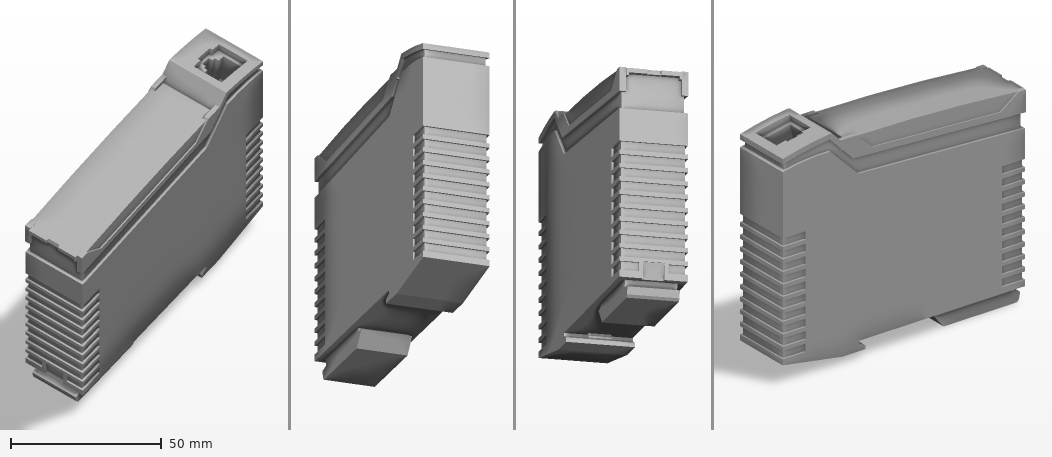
import cadquery as cq

width = 23.6
half_width = width / 2
back_y = 50.7
front_y = -49.7
cap_front_y = -50.0
lip_front_y = -50.7
base_z = 6.7

reach = 121.7

hook_tip_y = 16.5
hook_root_y = 19.2
hook_bottom_z = 2.8
hook_tip_z = 4.4
spring_half_width = 4.1

neck_inset = 1.0
neck_back_y = 49.5
neck_front_y = -48.6

groove_count = 10
groove_span = 41.5
groove_pitch = groove_span / (groove_count - 1)
groove_height = 3.0
groove_top_z = 53.6
groove_length = 9.5
groove_end_depth = 0.7
groove_side_depth = 0.8
bridge_half_width = 5.1

lid_back_y = 24.0
lid_gap_z = 80.2
panel_inset = 0.5
tab_inner_x = 10.0
tab_back_y = 26.7
tab_front_y = 20.3
tab_foot_y = 19.7
tab_top_z = 82.8
tab_bottom_z = 79.1
post_inner_x = 9.6
post_back_y = -46.9
post_top_z = 79.1
post_bottom_z = 77.1
lip_leg_width = 0.8
lip_top_z = 78.7
lip_thickness = 1.5
lip_leg_height = 2.5
finger_notch_width = 4.7
finger_notch_depth = 1.0
finger_notch_foot = 0.6
finger_notch_slope_height = 1.1

socket_tilt = 10.8
socket_x = 2.1
socket_y = 40.2
socket_z = 85.2
recess_width = 11.8
recess_length = 14.4
recess_depth = 2.5
ledge_width = 1.1
ledge_length = 6.8
socket_clearance = 5.1
jack_depth = 12.7
jack_width = 7.1
jack_length = 11.8
jack_shift_x = 0.7
jack_shift_y = 0.1
step_width = 1.5
step_lengths = (6.3, 3.9)

foot_half_width = 9.0
tongue_half_width = 3.8
tongue_top_z = 12.6
tongue_back_y = -44.6
tongue_top_y = -49.4
tongue_base_y = -48.3
foot_neck_y = -46.6
lip_groove_half_width = 7.9
lip_groove_z = 3.3
lip_groove_front_y = -49.1
lip_root_y = -46.1
lip_root_z = 4.4


def box(x_min, x_max, y_min, y_max, z_min, z_max):
    """Axis-aligned block between the given limits."""
    size = (x_max - x_min, y_max - y_min, z_max - z_min)
    return cq.Workplane("XY").box(*size, centered=False).translate((x_min, y_min, z_min))


def middle_slab(half):
    """Endless slab around the middle plane, used to keep only what lies beyond it in X."""
    return box(-half, half, -reach, reach, 0, reach)


def across(outline, half):
    """Extrude a closed YZ outline symmetrically across X."""
    return outline.close().extrude(half, both=True)


def lower_case():
    """Full-width lower case, with a stepped top edge and a rail hook underneath."""
    outline = (
        cq.Workplane("YZ")
        .moveTo(back_y, 78.2)
        .threePointArc((41.2, 79.7), (31.0, 80.0))
        .lineTo(19.4, 68.4)
        .lineTo(front_y, 64.9)
        .lineTo(front_y, base_z)
        .lineTo(hook_root_y, base_z)
        .lineTo(hook_root_y, 5.6)
        .lineTo(hook_tip_y, hook_tip_z)
        .lineTo(hook_tip_y, hook_bottom_z)
        .lineTo(26.0, hook_bottom_z)
        .lineTo(back_y, 6.9)
    )
    return across(outline, half_width)


def rail_spring():
    """Small catch in the undercut of the rail hook."""
    outline = (
        cq.Workplane("YZ")
        .moveTo(17.5, base_z)
        .lineTo(17.2, base_z)
        .lineTo(17.2, 6.1)
        .lineTo(hook_tip_y, 5.6)
        .lineTo(hook_tip_y, 5.0)
        .lineTo(17.2, hook_tip_z)
        .lineTo(18.5, 5.2)
        .lineTo(17.5, 5.8)
    )
    return across(outline, spring_half_width)


def neck():
    """Set-back band that joins the lower case to the cap, running a little into both."""
    outline = (
        cq.Workplane("YZ")
        .moveTo(neck_back_y, 71.0)
        .lineTo(neck_back_y, 82.1)
        .lineTo(31.3, 85.2)
        .lineTo(21.6, 75.5)
        .lineTo(neck_front_y, 77.6)
        .lineTo(neck_front_y, 60.8)
    )
    return across(outline, half_width - neck_inset)


def cap():
    """Full-width cap: raised socket end, slope, and a gently arched lid."""
    outline = (
        cq.Workplane("YZ")
        .moveTo(back_y, 83.0)
        .threePointArc((41.2, 85.2), (31.2, 86.6))
        .lineTo(30.3, 86.6)
        .lineTo(lid_back_y, lid_gap_z)
        .lineTo(lid_back_y, 82.3)
        .threePointArc((-9.8, 81.6), (lip_front_y, lip_top_z))
        .lineTo(lip_front_y, lip_top_z - lip_leg_height)
        .lineTo(cap_front_y, lip_top_z - lip_leg_height)
        .lineTo(cap_front_y, 70.8)
        .lineTo(21.6, 74.7)
        .lineTo(31.3, 84.6)
        .threePointArc((41.2, 83.1), (back_y, 81.0))
    )
    return across(outline, half_width)


def side_panels():
    """Shallow recesses in both flanks of the cap."""
    outline = (
        cq.Workplane("YZ")
        .moveTo(tab_foot_y, 82.3)
        .lineTo(13.5, 76.7)
        .lineTo(-39.3, 73.8)
        .lineTo(post_back_y, 79.0)
        .lineTo(post_back_y, tab_top_z)
        .lineTo(tab_foot_y, tab_top_z)
    )
    return across(outline, half_width).cut(middle_slab(half_width - panel_inset))


def tabs():
    """Two raised tabs at the back corners of the lid."""
    outline = (
        cq.Workplane("YZ")
        .moveTo(tab_back_y, tab_top_z)
        .lineTo(tab_front_y, tab_top_z)
        .lineTo(tab_foot_y, 82.2)
        .lineTo(tab_foot_y, tab_bottom_z)
        .lineTo(tab_back_y, tab_bottom_z)
    )
    return across(outline, half_width).cut(middle_slab(tab_inner_x))


def posts():
    """Flat-topped posts at the two front corners of the cap."""
    block = box(-half_width, half_width, cap_front_y, post_back_y, post_bottom_z, post_top_z)
    return block.cut(middle_slab(post_inner_x))


def tab_clearance():
    """Narrow slots between the lid and the two back tabs."""
    slots = box(-tab_inner_x, tab_inner_x, tab_foot_y, lid_back_y, lid_gap_z, tab_top_z)
    return slots.cut(middle_slab(post_inner_x))


def front_opening():
    """Space between the front posts, below the lip of the lid and its two short end legs."""
    leg_z = lip_top_z - lip_leg_height
    leg_x = post_inner_x - lip_leg_width
    below_legs = box(-post_inner_x, post_inner_x, lip_front_y, neck_front_y, 0, leg_z)
    between_legs = box(-leg_x, leg_x, lip_front_y, neck_front_y, leg_z, lip_top_z - lip_thickness)
    return below_legs.union(between_legs)


def lip_corners():
    """Space in front of the posts, at both ends of the lip."""
    lip_space = box(-half_width, half_width, lip_front_y, cap_front_y, 0, reach)
    return lip_space.cut(middle_slab(post_inner_x))


def finger_notch():
    """Notch in the middle of the lip, with a wall that slopes forward and then drops straight."""
    top_y = lip_front_y + finger_notch_depth
    foot_y = lip_front_y + finger_notch_foot
    outline = (
        cq.Workplane("YZ")
        .moveTo(lip_front_y, tab_top_z)
        .lineTo(top_y, tab_top_z)
        .lineTo(top_y, lip_top_z)
        .lineTo(foot_y, lip_top_z - finger_notch_slope_height)
        .lineTo(foot_y, lip_top_z - lip_thickness)
        .lineTo(lip_front_y, lip_top_z - lip_thickness)
    )
    return across(outline, finger_notch_width / 2)


def grooves():
    """Grooves that wrap the front and back edges of the lower case."""
    inner = half_width - groove_side_depth
    cutter = None
    for i in range(groove_count):
        top = groove_top_z - i * groove_pitch
        bottom = top - groove_height
        band = box(-half_width, half_width, front_y, back_y, bottom, top)
        core = box(-inner, inner, front_y + groove_end_depth, back_y - groove_end_depth, bottom, top)
        middle = box(-half_width, half_width, front_y + groove_length, back_y - groove_length, bottom, top)
        ring = band.cut(core).cut(middle)
        if i == groove_count - 1:
            ring = ring.cut(box(-bridge_half_width, bridge_half_width, front_y, 0, bottom, top))
        cutter = ring if cutter is None else cutter.union(ring)
    return cutter


def socket():
    """Stepped socket opening, with its recess, sunk square to the sloping top."""
    def pocket(x, y, x_size, y_size, depth):
        block = box(-x_size / 2, x_size / 2, -y_size / 2, y_size / 2, -depth, socket_clearance)
        return block.translate((x, y, 0))

    cutter = pocket(0, 0, recess_width, recess_length, recess_depth)
    ledge_x = -(recess_width + ledge_width) / 2
    cutter = cutter.union(pocket(ledge_x, 0, ledge_width, ledge_length, recess_depth))
    cutter = cutter.union(pocket(jack_shift_x, jack_shift_y, jack_width, jack_length, jack_depth))
    x = jack_shift_x - jack_width / 2
    for length in step_lengths:
        cutter = cutter.union(pocket(x - step_width / 2, 0, step_width, length, jack_depth))
        x -= step_width
    tilted = cutter.rotate((0, 0, 0), (1, 0, 0), -socket_tilt)
    return tilted.translate((socket_x, socket_y, socket_z))


def tongue():
    """Part of the foot that rises into the front of the case."""
    outline = (
        cq.Workplane("YZ")
        .moveTo(tongue_base_y, base_z)
        .lineTo(tongue_top_y, tongue_top_z)
        .lineTo(tongue_back_y, tongue_top_z)
        .lineTo(tongue_back_y, base_z)
    )
    return across(outline, tongue_half_width)


def tongue_slot():
    """Slot in the front of the lower case that takes the tongue of the foot."""
    return box(-tongue_half_width, tongue_half_width, front_y, tongue_back_y, base_z, tongue_top_z)


def make_housing():
    """Lower case, neck and cap as one body."""
    body = cap().cut(side_panels()).cut(tab_clearance())
    body = body.cut(front_opening()).cut(lip_corners()).cut(finger_notch())
    body = body.union(tabs()).union(posts()).union(neck()).union(lower_case()).union(rail_spring())
    return body.cut(grooves()).cut(socket()).cut(tongue_slot())


def lip_groove():
    """Groove along the top of the front lip of the foot, closed at both ends."""
    neck_slope = (lip_root_y - foot_neck_y) / (base_z - lip_root_z)
    groove_back_y = lip_root_y + neck_slope * (lip_root_z - lip_groove_z)
    outline = (
        cq.Workplane("YZ")
        .moveTo(lip_root_y, lip_root_z)
        .lineTo(groove_back_y, lip_groove_z)
        .lineTo(lip_groove_front_y, lip_groove_z)
        .lineTo(lip_groove_front_y, lip_root_z)
    )
    return across(outline, lip_groove_half_width)


def make_foot():
    """Foot that clips onto the mounting rail."""
    outline = (
        cq.Workplane("YZ")
        .moveTo(-16.3, base_z)
        .lineTo(-16.3, 5.6)
        .lineTo(-13.7, 5.3)
        .lineTo(-18.0, 0)
        .lineTo(-48.4, 0)
        .lineTo(-49.2, 0.9)
        .lineTo(front_y, 3.5)
        .lineTo(lip_root_y, lip_root_z)
        .lineTo(foot_neck_y, base_z)
    )
    return across(outline, foot_half_width).cut(lip_groove()).union(tongue())


housing = make_housing()
foot = make_foot()
result = cq.Compound.makeCompound([housing.val(), foot.val()])